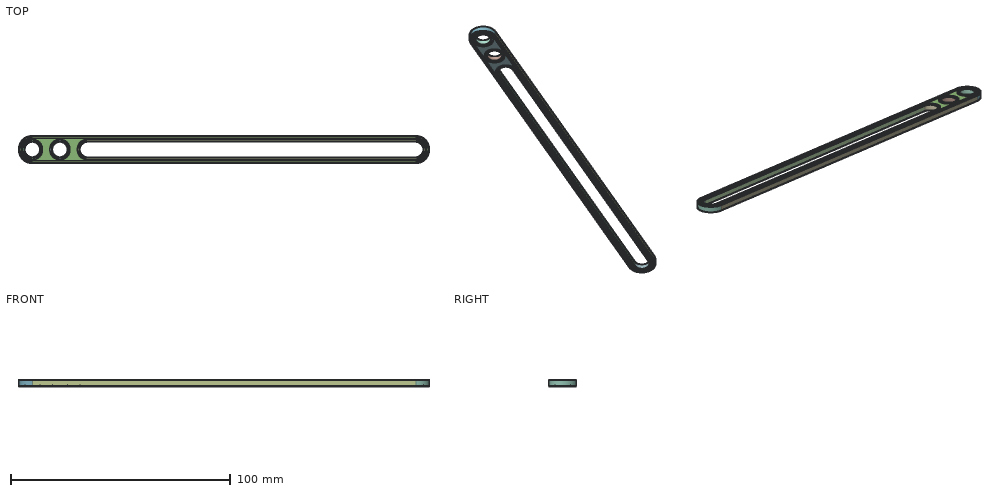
import cadquery as cq

length = 187.5
width = 12.5
thickness = 3.2
edge_chamfer = 0.34

pitch = width
bore_diameter = 7.0
collar_diameter = 9.2

rim_thickness = 1.1
pocket_depth = 0.4
pocket_width = width - 2 * rim_thickness

first_hole_x = (width - length) / 2
second_hole_x = first_hole_x + pitch
slot_start_x = second_hole_x + pitch
slot_end_x = -first_hole_x


def stadium(start_x, end_x, diameter, bottom_z, height):
    """Round-ended prism whose end arcs are centred at start_x and end_x."""
    return (
        cq.Workplane("XY", origin=((start_x + end_x) / 2, 0, bottom_z))
        .slot2D(end_x - start_x + diameter, diameter)
        .extrude(height)
    )


def holes_and_slot(diameter, bottom_z, height):
    """Prisms of one diameter at both round holes and along the slot."""
    holes = (
        cq.Workplane("XY", origin=(0, 0, bottom_z))
        .pushPoints([(first_hole_x, 0), (second_hole_x, 0)])
        .circle(diameter / 2)
        .extrude(height)
    )
    return holes.union(stadium(slot_start_x, slot_end_x, diameter, bottom_z, height))


def face_pocket(bottom_z):
    """Pocket inside the rim that leaves a collar standing around each opening."""
    inside_rim = stadium(first_hole_x, slot_end_x, pocket_width, bottom_z, pocket_depth)
    return inside_rim.cut(holes_and_slot(collar_diameter, bottom_z, pocket_depth))


plate = stadium(first_hole_x, slot_end_x, width, 0, thickness)
plate = plate.cut(holes_and_slot(bore_diameter, 0, thickness))
plate = plate.faces("<Z or >Z").edges().chamfer(edge_chamfer)

result = plate
for pocket_bottom_z in (0, thickness - pocket_depth):
    result = result.cut(face_pocket(pocket_bottom_z))